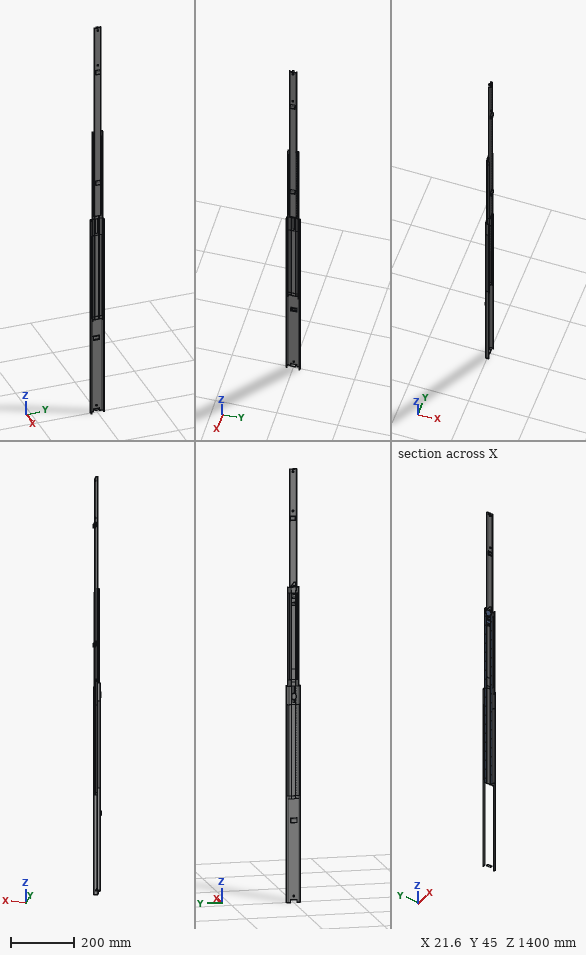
import cadquery as cq
import math


outer_length = 700.0
moving_length = 684.0
extended_length = 1400.0
sheet = 1.5
hook_reach = 10.785

outer_back = -6.5
outer_lip_end = 6.2
outer_half_width = 44.98 / 2
outer_corner = 5.0
outer_lip_radius = 2.7

middle_bottom = 335.0
middle_top = middle_bottom + moving_length
middle_back = -4.1
middle_tip = 5.5
middle_half_width = 18.0
middle_corner = 4.3
middle_sheet = 1.4
race_start = 0.5
race_end = 4.3
race_depth = 0.6
groove_half_width = 6.4
groove_depth = 0.8

inner_bottom = extended_length - moving_length
inner_face = 6.4
inner_tip = 1.0
inner_half_width = 11.5
inner_corner = 2.0

hook_bend = 3.0
outer_hook_top = 274.0
outer_hook_height = 15.0
outer_hook_width = 20.0
inner_hook_tops = (845.0, 1247.0)
inner_hook_height = 14.0
inner_hook_width = 16.0

hole_diameter = 5.0
outer_hole_z = 21.0
inner_hole_heights = (1264.0, 1390.5)
notch_width = 20.0
notch_height = 9.5
outer_tab_width = 16.0
outer_tab_end = 4.0
inner_tab_width = 6.0
inner_tab_end = -1.5

latch_stem_width = 6.0
latch_stem_bottom = 647.0
latch_head_width = 14.0
latch_head_height = 22.0
latch_head_z = 667.0

bumper_bottom = 960.0
bumper_head_bottom = 1008.0
bumper_head_width = 18.0
bumper_cap_top = 1023.0
bumper_cap_front = 1.8
bumper_tongue_back = 0.4
bumper_tongue_top = 1034.0
bumper_tongue_start_y = 6.0
bumper_tongue_inner_y = -2.0
bumper_tongue_outer_y = -7.5
bumper_recess_depth = 0.4
bumper_recesses = ((997.0, 4.0), (985.0, 4.0), (968.0, 5.0))
pocket_bottom = 713.0
pocket_top = 755.0
pocket_depth = 0.2

cage_sheet = 0.6
outer_cage_bottom = 345.0
outer_cage_top = 640.0
outer_cage_back = -4.85
outer_cage_half_width = 19.7
outer_cage_strip = 1.4
outer_cage_tip = 3.0
outer_cage_corner = 2.5
inner_cage_bottom = 720.0
inner_cage_top = 1000.0
inner_cage_back = -1.7
inner_cage_half_width = 14.5
inner_cage_strip = 2.0
inner_cage_tip = 4.0
inner_cage_corner = 0.5


def block(x_range, y_range, z_range):
    """Box between the given limits."""
    size = [high - low for low, high in (x_range, y_range, z_range)]
    low_corner = (x_range[0], y_range[0], z_range[0])
    return cq.Workplane("XY").box(*size, centered=False).translate(low_corner)


def centred_block(x_range, width, z_range):
    """Box centred on Y = 0."""
    return block(x_range, (-width / 2, width / 2), z_range)


def on_circle(centre, radius, degrees):
    angle = math.radians(degrees)
    return (centre[0] + radius * math.cos(angle), centre[1] + radius * math.sin(angle))


def both_sides(half):
    """Completes a section that has been built for Y >= 0 only."""
    return half.union(half.mirror("XZ")).clean()


def cross_hole(z):
    """Cutter for a round hole along X on the centre line."""
    return (
        cq.Workplane("YZ")
        .center(0, z)
        .circle(hole_diameter / 2)
        .extrude(2 * hook_reach)
        .translate((-hook_reach, 0, 0))
    )


def hook(face, direction, top, height, width):
    """J-shaped hook: a leg out of the web face, bent down into a hanging plate."""
    end = direction * hook_reach
    inside = end - direction * sheet
    root = face - direction * sheet
    inner_bend = hook_bend - sheet
    bend_x = end - direction * hook_bend
    bend_z = top - hook_bend
    bend_centre = (bend_x, bend_z)
    middle_angle = 45 if direction > 0 else 135
    return (
        cq.Workplane("XZ")
        .moveTo(root, top)
        .lineTo(bend_x, top)
        .threePointArc(on_circle(bend_centre, hook_bend, middle_angle), (end, bend_z))
        .lineTo(end, top - height)
        .lineTo(inside, top - height)
        .lineTo(inside, bend_z)
        .threePointArc(on_circle(bend_centre, inner_bend, middle_angle), (bend_x, top - sheet))
        .lineTo(root, top - sheet)
        .close()
        .extrude(width / 2, both=True)
    )


def add_hook(rail, face, direction, top, height, width):
    """Opens the web below the hook's leg and joins the hook to it."""
    web = sorted((face, face - direction * sheet))
    rail = rail.cut(centred_block(web, width, (top - height, top - sheet)))
    return rail.union(hook(face, direction, top, height, width))


def latch_shape():
    """Stem set into the web, with a rounded head standing out to the hooks' reach."""
    stem = centred_block(
        (outer_back, outer_back + sheet), latch_stem_width, (latch_stem_bottom, outer_length)
    )
    head = (
        cq.Workplane("YZ")
        .center(0, latch_head_z)
        .slot2D(latch_head_height, latch_head_width, 90)
        .extrude(hook_reach + outer_back)
        .translate((-hook_reach, 0, 0))
    )
    return stem.union(head)


def outer_end_tab():
    """Stop tab bent from the outer rail's web toward +X at its lower end."""
    bend_centre = (outer_back + sheet, notch_height)
    tab_bottom = notch_height - sheet
    return (
        cq.Workplane("XZ")
        .moveTo(outer_back, notch_height)
        .threePointArc(on_circle(bend_centre, sheet, 225), (bend_centre[0], tab_bottom))
        .lineTo(outer_tab_end, tab_bottom)
        .lineTo(outer_tab_end, notch_height)
        .close()
        .extrude(outer_tab_width / 2, both=True)
    )


def outer_rail_shape():
    corner_centre = (outer_back + outer_corner, outer_half_width - outer_corner)
    lip_centre = (outer_lip_end - outer_lip_radius, outer_half_width - outer_lip_radius)
    inside = outer_half_width - sheet
    half = (
        cq.Workplane("XY")
        .moveTo(outer_back, 0)
        .lineTo(outer_back, corner_centre[1])
        .threePointArc(
            on_circle(corner_centre, outer_corner, 135), (corner_centre[0], outer_half_width)
        )
        .lineTo(lip_centre[0], outer_half_width)
        .threePointArc(on_circle(lip_centre, outer_lip_radius, 45), (outer_lip_end, lip_centre[1]))
        .lineTo(outer_lip_end - sheet, lip_centre[1])
        .threePointArc(on_circle(lip_centre, outer_lip_radius - sheet, 45), (lip_centre[0], inside))
        .lineTo(corner_centre[0], inside)
        .threePointArc(
            on_circle(corner_centre, outer_corner - sheet, 135),
            (outer_back + sheet, corner_centre[1]),
        )
        .lineTo(outer_back + sheet, 0)
        .close()
        .extrude(outer_length)
    )
    rail = both_sides(half)
    web = (outer_back, outer_back + sheet)
    rail = rail.cut(centred_block(web, notch_width, (0, notch_height)))
    rail = rail.union(outer_end_tab())
    rail = add_hook(rail, outer_back, -1, outer_hook_top, outer_hook_height, outer_hook_width)
    return rail.cut(cross_hole(outer_hole_z)).cut(latch_shape())


def bumper_shape():
    """Plate in the middle rail's groove, with a wide head, a cap over the rail's end and a tongue."""
    thickness = (middle_back, middle_back + groove_depth)
    groove_width = 2 * groove_half_width
    plate = centred_block(thickness, groove_width, (bumper_bottom, bumper_head_bottom))
    head = centred_block(thickness, bumper_head_width, (bumper_head_bottom, middle_top))
    cap = centred_block(
        (middle_back, bumper_cap_front), bumper_head_width, (middle_top, bumper_cap_top)
    )
    tongue = (
        cq.Workplane("YZ", origin=(bumper_tongue_back, 0, 0))
        .moveTo(bumper_tongue_start_y, bumper_cap_top)
        .lineTo(bumper_tongue_inner_y, bumper_tongue_top)
        .lineTo(bumper_tongue_outer_y, bumper_tongue_top)
        .lineTo(bumper_tongue_outer_y, bumper_cap_top)
        .close()
        .extrude(bumper_cap_front - bumper_tongue_back)
    )
    bumper = plate.union(head).union(cap).union(tongue)
    recess_range = (middle_back, middle_back + bumper_recess_depth)
    for centre, height in bumper_recesses:
        recess = (centre - height / 2, centre + height / 2)
        bumper = bumper.cut(centred_block(recess_range, groove_width, recess))
    return bumper


def middle_rail_shape():
    corner_centre = (middle_back + middle_corner, middle_half_width - middle_corner)
    race_middle = ((race_start + race_end) / 2, middle_half_width - race_depth)
    inside = middle_half_width - middle_sheet
    groove_back = middle_back + groove_depth
    half = (
        cq.Workplane("XY")
        .moveTo(groove_back, 0)
        .lineTo(groove_back, groove_half_width)
        .lineTo(middle_back, groove_half_width)
        .lineTo(middle_back, corner_centre[1])
        .threePointArc(
            on_circle(corner_centre, middle_corner, 135), (corner_centre[0], middle_half_width)
        )
        .lineTo(race_start, middle_half_width)
        .threePointArc(race_middle, (race_end, middle_half_width))
        .lineTo(middle_tip, middle_half_width)
        .lineTo(middle_tip, inside)
        .lineTo(corner_centre[0], inside)
        .threePointArc(
            on_circle(corner_centre, middle_corner - middle_sheet, 135),
            (middle_back + middle_sheet, corner_centre[1]),
        )
        .lineTo(middle_back + middle_sheet, groove_half_width + middle_sheet)
        .lineTo(groove_back + middle_sheet, groove_half_width + middle_sheet)
        .lineTo(groove_back + middle_sheet, 0)
        .close()
        .extrude(middle_top - middle_bottom)
        .translate((0, 0, middle_bottom))
    )
    rail = both_sides(half)
    head_seat = centred_block(
        (middle_back, groove_back), bumper_head_width, (bumper_head_bottom, middle_top)
    )
    pocket = centred_block(
        (groove_back, groove_back + pocket_depth), 2 * groove_half_width, (pocket_bottom, pocket_top)
    )
    return rail.cut(head_seat).cut(pocket)


def inner_rail_shape():
    corner_centre = (inner_face - inner_corner, inner_half_width - inner_corner)
    half = (
        cq.Workplane("XY")
        .moveTo(inner_face, 0)
        .lineTo(inner_face, corner_centre[1])
        .threePointArc(
            on_circle(corner_centre, inner_corner, 45), (corner_centre[0], inner_half_width)
        )
        .lineTo(inner_tip, inner_half_width)
        .lineTo(inner_tip, inner_half_width - sheet)
        .lineTo(corner_centre[0], inner_half_width - sheet)
        .threePointArc(
            on_circle(corner_centre, inner_corner - sheet, 45),
            (inner_face - sheet, corner_centre[1]),
        )
        .lineTo(inner_face - sheet, 0)
        .close()
        .extrude(moving_length)
        .translate((0, 0, inner_bottom))
    )
    rail = both_sides(half)
    rail = rail.union(
        centred_block(
            (inner_tab_end, inner_face), inner_tab_width, (extended_length - sheet, extended_length)
        )
    )
    for top in inner_hook_tops:
        rail = add_hook(rail, inner_face, 1, top, inner_hook_height, inner_hook_width)
    for z in inner_hole_heights:
        rail = rail.cut(cross_hole(z))
    return rail


def ball_cage(back, tip, half_width, strip, corner, bottom, top):
    """Thin channel that carries a row of balls along each side."""
    corner_centre = (back + corner, half_width - corner)
    half = (
        cq.Workplane("XY")
        .moveTo(back, 0)
        .lineTo(back, corner_centre[1])
        .threePointArc(on_circle(corner_centre, corner, 135), (corner_centre[0], half_width))
        .lineTo(tip, half_width)
        .lineTo(tip, half_width - strip)
        .lineTo(back + cage_sheet, half_width - strip)
        .lineTo(back + cage_sheet, 0)
        .close()
        .extrude(top - bottom)
        .translate((0, 0, bottom))
    )
    return both_sides(half)


outer_rail = outer_rail_shape()
middle_rail = middle_rail_shape()
inner_rail = inner_rail_shape()
latch = latch_shape()
bumper = bumper_shape()
outer_cage = ball_cage(
    outer_cage_back,
    outer_cage_tip,
    outer_cage_half_width,
    outer_cage_strip,
    outer_cage_corner,
    outer_cage_bottom,
    outer_cage_top,
)
inner_cage = ball_cage(
    inner_cage_back,
    inner_cage_tip,
    inner_cage_half_width,
    inner_cage_strip,
    inner_cage_corner,
    inner_cage_bottom,
    inner_cage_top,
)

bodies = (outer_rail, middle_rail, inner_rail, latch, bumper, outer_cage, inner_cage)
result = cq.Compound.makeCompound([body.solids().val() for body in bodies])